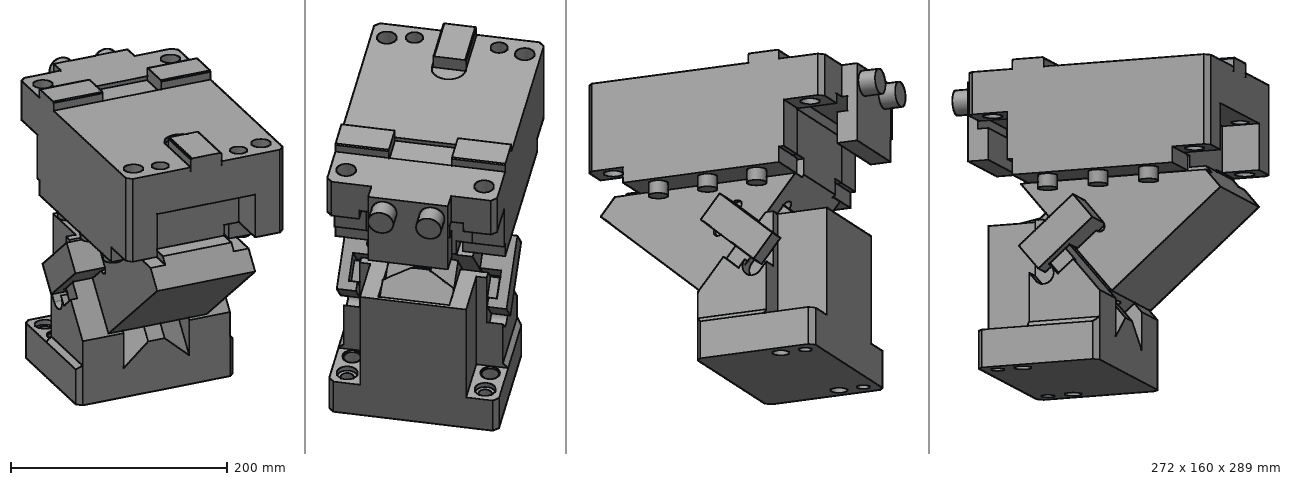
import cadquery as cq
import math

TOTAL_HEIGHT = 289.0
HALF_WIDTH = 80.0
RIGHT_END = 230.0
CORNER_CHAMFER = 5.0
BEVEL_ANGLE = 45.0
SLOPE_ANGLE = 50.0
BOLT_Y = 65.0
SLIDER_HALF = 50.0
NECK_HALF = 35.0

CLEAR = 144.5

BASE_LENGTH = 120.0
FOOT_HEIGHT = 35.8
BASE_TOP = 140.0
COLUMN_LENGTH = 50.0
CREST_X = 57.8
BODY_HALF = HALF_WIDTH - CORNER_CHAMFER
CORE_HALF = 59.8
RAIL_HALF = 68.5
RAIL_START = 17.3
RAIL_END = 55.8
RAIL_THICKNESS = 20.0
GROOVE_WIDTH = 20.0
BASE_SCREW_X = 15.0
BASE_SCREW_DIA = 12.0
BASE_SCREW_HEAD_DIA = 19.5
BASE_SCREW_HEAD_DEPTH = 5.0
BASE_DOWEL_X = 40.0
BASE_DOWEL_CHAMFER = 1.2
DOWEL_DIA = 16.0

GUIDE_START = -24.0
GUIDE_TOP = -8.7
GUIDE_FLAT_HALF = 8.5
GUIDE_FLANK_ANGLE = 30.0
GUIDE_POCKET_FLOOR = -41.5
GUIDE_SLOT_HALF = 33.5

SLIDE_GAP = 4.3
SLIDER_FRONT = 30.0
HEAD_BACK = 193.5
HEAD_TOP = 239.0
SHOULDER_Z = 177.5
TAIL_TOP = 184.0
TAIL_CORNER_Z = 160.0
SHOE_START = -14.2
SHOE_LENGTH = 100.0
SHOE_HALF = 32.5
SHOE_CHANNEL_HEIGHT = 3.5
SHOE_SEAT_DEPTH = 8.0
SHOE_RELIEF_Y = 26.0
SHOE_RELIEF_RADIUS = 6.5

HOOK_START = 10.7
HOOK_WIDTH = 30.0
HOOK_LOW = -30.0
HOOK_HIGH = 40.0
HOOK_LIP_HALF = 61.8
HOOK_LIP_TOP = -21.5
HOOK_NOTCH_TOP = 5.5
HOOK_NOTCH_HALF = 70.0
HOOK_RELIEF_RADIUS = 4.5
HOOK_RELIEF_SETBACK = 5.2
HOOK_SEAT_DEPTH = 5.0

HOLDER_TOP = 280.0
HOLDER_BOTTOM = 195.0
FLANGE_LEFT = -9.5
FLANGE_BOTTOM = 240.0
RECESS_HALF = 49.0
RECESS_TOP = 249.5
PLATE_LEFT = -25.0
PLATE_HALF = 37.5
PLATE_BOTTOM = 205.2
PLATE_FOOT_TOP = 235.2
PLATE_FOOT_RIGHT = -5.0
PLATE_NOTCH_LEFT = -15.3
SCREW_TIP = -42.0
SCREW_Y = 22.5
SCREW_Z = 264.5
SCREW_DIA = 23.7
RETAINER_LEFT = 35.0
RETAINER_RIGHT = HEAD_BACK
RETAINER_INNER = 40.0
RETAINER_BOTTOM = 180.0
RETAINER_SCREW_X = (64.5, 114.5, 164.5)
RETAINER_SCREW_DIA = 18.2
RETAINER_SCREW_HEIGHT = 12.0
MOUNT_HOLE_X = (10.0, 210.0)
MOUNT_HOLE_DIA = 18.2
DOWEL_X = 215.0
DOWEL_Y = 40.0
KEY_DEPTH = 4.0
KEY_CHAMFER = 1.2
CROSS_KEY_LEFT = 35.0
CROSS_KEY_WIDTH = 31.2
CROSS_KEY_GAP_HALF = 29.8
LONG_KEY_LEFT = 180.0
LONG_KEY_HALF = 15.5
LONG_KEYWAY_HALF = 16.0
LONG_KEYWAY_CENTER = 175.7

SLOPE = math.radians(SLOPE_ANGLE)
DOWN_SLOPE = cq.Vector(math.cos(SLOPE), 0, -math.sin(SLOPE))
OUT_OF_SLOPE = cq.Vector(math.sin(SLOPE), 0, math.cos(SLOPE))
CREST = cq.Vector(CREST_X, 0, BASE_TOP)
SIDE_PLANE = cq.Plane.XZ()
SLOPE_PLANE = cq.Plane(CREST, DOWN_SLOPE, (0, -1, 0))


def block(x_range, y_range, z_range):
    """Box between two values on each axis."""
    size = [high - low for low, high in (x_range, y_range, z_range)]
    corner = (x_range[0], y_range[0], z_range[0])
    return cq.Workplane("XY").box(*size, centered=False).translate(corner)


def prism(plane, points, y_low, y_high):
    """Outline in an upright plane, extruded from y_high down to y_low."""
    outline = cq.Workplane(plane).workplane(offset=-y_high).polyline(points).close()
    return outline.extrude(y_high - y_low)


def slope_block(s_range, d_range, y_range):
    """Box aligned with the sliding face."""
    (s0, s1), (d0, d1) = s_range, d_range
    return prism(SLOPE_PLANE, [(s0, d0), (s1, d0), (s1, d1), (s0, d1)], *y_range)


def both_sides(shape):
    """Shape together with its mirror image across the middle plane."""
    return shape.union(shape.mirror("XZ"))


def upright_cylinders(points, diameter, z_low, z_high):
    plane = cq.Workplane("XY").workplane(offset=z_low)
    return plane.pushPoints(points).circle(diameter / 2).extrude(z_high - z_low)


def guide_flank_depth(y):
    """Height d of the V guide at the half width y."""
    return GUIDE_TOP - (y - GUIDE_FLAT_HALF) * math.tan(math.radians(GUIDE_FLANK_ANGLE))


def roof_prism(half_width, level, s_start, s_end):
    """Prism along the slope between the roof of the V guide and a flat at the height d = level."""
    edge = guide_flank_depth(half_width)
    section = [
        (-half_width, level),
        (-half_width, edge),
        (-GUIDE_FLAT_HALF, GUIDE_TOP),
        (GUIDE_FLAT_HALF, GUIDE_TOP),
        (half_width, edge),
        (half_width, level),
    ]
    plane = cq.Plane(CREST + DOWN_SLOPE * s_start, (0, 1, 0), DOWN_SLOPE)
    return cq.Workplane(plane).polyline(section).close().extrude(s_end - s_start)


def slider_face_x(z):
    """X of the slider's sliding face at height z."""
    return CREST_X + (BASE_TOP - z) / math.tan(SLOPE) + SLIDE_GAP / math.sin(SLOPE)


def slider_face_z(x):
    """Height of the slider's sliding face at X."""
    return BASE_TOP + (CREST_X - x) * math.tan(SLOPE) + SLIDE_GAP / math.cos(SLOPE)


def make_base():
    foot = block((0, BASE_LENGTH), (-HALF_WIDTH, HALF_WIDTH), (0, FOOT_HEIGHT))
    foot = foot.edges("|Z").chamfer(CORNER_CHAMFER)

    bevel_top = FOOT_HEIGHT + CORNER_CHAMFER
    bevel = (
        cq.Workplane("YZ").workplane(offset=COLUMN_LENGTH)
        .polyline([(-HALF_WIDTH, FOOT_HEIGHT), (HALF_WIDTH, FOOT_HEIGHT),
                   (BODY_HALF, bevel_top), (-BODY_HALF, bevel_top)])
        .close().extrude(BASE_LENGTH - COLUMN_LENGTH)
    )
    bevel = bevel.intersect(foot.translate((0, 0, CORNER_CHAMFER)))

    column = block((0, COLUMN_LENGTH), (-SLIDER_HALF, SLIDER_HALF), (0, BASE_TOP))
    slope_end_z = BASE_TOP - (BASE_LENGTH - CREST_X) * math.tan(SLOPE)
    body = prism(
        SIDE_PLANE,
        [(COLUMN_LENGTH, 0), (BASE_LENGTH, 0), (BASE_LENGTH, slope_end_z),
         (CREST_X, BASE_TOP), (COLUMN_LENGTH, BASE_TOP)],
        -BODY_HALF, BODY_HALF,
    )
    body = body.cut(hook_track())
    base = cut_guide(foot.union(bevel).union(column).union(body))

    screws = [(BASE_SCREW_X, y) for y in (-BOLT_Y, BOLT_Y)]
    dowels = [(BASE_DOWEL_X, y) for y in (-BOLT_Y, BOLT_Y)]
    base = base.cut(upright_cylinders(screws, BASE_SCREW_DIA, 0, FOOT_HEIGHT))
    head_seat = FOOT_HEIGHT - BASE_SCREW_HEAD_DEPTH
    base = base.cut(upright_cylinders(screws, BASE_SCREW_HEAD_DIA, head_seat, FOOT_HEIGHT))
    dowel_holes = upright_cylinders(dowels, DOWEL_DIA, 0, FOOT_HEIGHT)
    mouths = (
        cq.Workplane("XY").workplane(offset=FOOT_HEIGHT).pushPoints(dowels)
        .circle(DOWEL_DIA / 2 + BASE_DOWEL_CHAMFER).extrude(-BASE_DOWEL_CHAMFER, taper=BEVEL_ANGLE)
    )
    return base.cut(dowel_holes).cut(mouths)


def cut_guide(base):
    """V guide below the sliding face, reaching out of the top through a deeper pocket."""
    slot = (-GUIDE_SLOT_HALF, GUIDE_SLOT_HALF)
    pocket = slope_block((-CLEAR, GUIDE_START), (GUIDE_POCKET_FLOOR, CLEAR), slot)
    above_roof = roof_prism(GUIDE_SLOT_HALF, CLEAR, GUIDE_START, CLEAR)
    tip = roof_prism(GUIDE_SLOT_HALF, GUIDE_POCKET_FLOOR, GUIDE_START, 0)
    return base.cut(pocket).cut(above_roof).union(tip)


def hook_track():
    """Space cut from both flanks of the base so that a rail stands behind each hook."""
    radius = GROOVE_WIDTH / 2
    round_center = RAIL_END - radius
    groove_low = -RAIL_THICKNESS - GROOVE_WIDTH
    above_rail = slope_block((-CLEAR, RAIL_START), (groove_low, CLEAR), (CORE_HALF, HALF_WIDTH))
    beside_rail = slope_block((-CLEAR, RAIL_END), (-RAIL_THICKNESS, CLEAR), (RAIL_HALF, HALF_WIDTH))
    groove = slope_block((-CLEAR, round_center), (groove_low, -RAIL_THICKNESS), (CORE_HALF, HALF_WIDTH))
    groove_end = (
        cq.Workplane(SLOPE_PLANE).workplane(offset=-HALF_WIDTH)
        .center(round_center, groove_low + radius)
        .circle(radius).extrude(HALF_WIDTH - CORE_HALF)
    )
    return both_sides(above_rail.union(beside_rail).union(groove).union(groove_end))


def make_slider():
    tip_reach = (RIGHT_END - slider_face_x(TAIL_CORNER_Z)) * math.sin(SLOPE)
    tip = cq.Vector(RIGHT_END, 0, TAIL_CORNER_Z) - OUT_OF_SLOPE * tip_reach

    def tail_x(z):
        return RIGHT_END - (z - TAIL_CORNER_Z) / math.tan(SLOPE)

    lower = prism(
        SIDE_PLANE,
        [(slider_face_x(SHOULDER_Z), SHOULDER_Z), (tip.x, tip.z),
         (RIGHT_END, TAIL_CORNER_Z), (tail_x(SHOULDER_Z), SHOULDER_Z)],
        -SLIDER_HALF, SLIDER_HALF,
    )
    neck = prism(
        SIDE_PLANE,
        [(SLIDER_FRONT, slider_face_z(SLIDER_FRONT)), (slider_face_x(SHOULDER_Z), SHOULDER_Z),
         (tail_x(SHOULDER_Z), SHOULDER_Z), (tail_x(TAIL_TOP), TAIL_TOP),
         (HEAD_BACK, TAIL_TOP), (HEAD_BACK, HOLDER_BOTTOM), (SLIDER_FRONT, HOLDER_BOTTOM)],
        -NECK_HALF, NECK_HALF,
    )
    head = block((SLIDER_FRONT, HEAD_BACK), (-SLIDER_HALF, SLIDER_HALF), (HOLDER_BOTTOM, HEAD_TOP))
    slider = lower.union(neck).union(head)

    seat_top = SLIDE_GAP + SHOE_SEAT_DEPTH
    relief_plane = cq.Plane(CREST + OUT_OF_SLOPE * SLIDE_GAP, DOWN_SLOPE, OUT_OF_SLOPE)
    reliefs = (
        cq.Workplane(relief_plane)
        .pushPoints([(SHOE_START, -SHOE_RELIEF_Y), (SHOE_START, SHOE_RELIEF_Y)])
        .circle(SHOE_RELIEF_RADIUS).extrude(SHOE_SEAT_DEPTH)
    )
    shoe_end = SHOE_START + SHOE_LENGTH
    shoe = roof_prism(SHOE_HALF, seat_top, SHOE_START, shoe_end)
    channel_depths = (GUIDE_TOP, GUIDE_TOP + SHOE_CHANNEL_HEIGHT)
    channel = slope_block((SHOE_START, shoe_end), channel_depths,
                          (-GUIDE_FLAT_HALF, GUIDE_FLAT_HALF))
    shoe = shoe.cut(channel)
    slider = slider.cut(reliefs).union(shoe)

    slider = slider.cut(both_sides(hook_reliefs()))
    return slider.union(both_sides(make_hook()))


def hook_reliefs():
    """Round corner reliefs of the hook's seat in one flank of the slider."""
    d = HOOK_HIGH - HOOK_RELIEF_SETBACK
    centers = [(HOOK_START, d), (HOOK_START + HOOK_WIDTH, d)]
    plane = cq.Workplane(SLOPE_PLANE).workplane(offset=-SLIDER_HALF)
    return plane.pushPoints(centers).circle(HOOK_RELIEF_RADIUS).extrude(HOOK_SEAT_DEPTH)


def make_hook():
    """Hook on the +Y flank, reaching under the rail of the base."""
    s_range = (HOOK_START, HOOK_START + HOOK_WIDTH)
    inner = SLIDER_HALF - HOOK_SEAT_DEPTH
    arm = slope_block(s_range, (HOOK_LOW, HOOK_HIGH), (HOOK_NOTCH_HALF, HALF_WIDTH))
    root = slope_block(s_range, (HOOK_NOTCH_TOP, HOOK_HIGH), (inner, HALF_WIDTH))
    lip = slope_block(s_range, (HOOK_LOW, HOOK_LIP_TOP), (HOOK_LIP_HALF, HALF_WIDTH))
    return arm.union(root).union(lip)


def make_holder():
    full_width = (-HALF_WIDTH, HALF_WIDTH)
    holder = block((FLANGE_LEFT, RIGHT_END), full_width, (HOLDER_BOTTOM, HOLDER_TOP))
    holder = holder.edges("|Z").chamfer(CORNER_CHAMFER)
    holder = holder.cut(block((FLANGE_LEFT, SLIDER_FRONT), full_width, (HOLDER_BOTTOM, FLANGE_BOTTOM)))
    holder = holder.cut(block((SLIDER_FRONT, RIGHT_END), (-SLIDER_HALF, SLIDER_HALF),
                              (HOLDER_BOTTOM, HEAD_TOP)))
    holder = holder.cut(block((FLANGE_LEFT, SLIDER_FRONT), (-RECESS_HALF, RECESS_HALF),
                              (FLANGE_BOTTOM, RECESS_TOP)))
    holder = holder.union(make_retainers()).union(make_stop_plate())

    mounts = [(x, y) for x in MOUNT_HOLE_X for y in (-BOLT_Y, BOLT_Y)]
    dowels = [(DOWEL_X, y) for y in (-DOWEL_Y, DOWEL_Y)]
    holder = holder.cut(upright_cylinders(mounts, MOUNT_HOLE_DIA, HOLDER_BOTTOM, HOLDER_TOP))
    holder = holder.cut(upright_cylinders(dowels, DOWEL_DIA, HOLDER_BOTTOM, HOLDER_TOP))
    return add_long_key(add_cross_keys(holder))


def make_retainers():
    """Strips holding the slider's head from below, with their screw heads."""
    strip = block((RETAINER_LEFT, RETAINER_RIGHT), (RETAINER_INNER, HALF_WIDTH),
                  (RETAINER_BOTTOM, HOLDER_BOTTOM))
    screws = [(x, BOLT_Y) for x in RETAINER_SCREW_X]
    heads = upright_cylinders(screws, RETAINER_SCREW_DIA,
                              RETAINER_BOTTOM - RETAINER_SCREW_HEIGHT, RETAINER_BOTTOM)
    return both_sides(strip.union(heads))


def make_stop_plate():
    """Plate on the front of the flange, hanging below it, with two screw heads."""
    plate = prism(
        SIDE_PLANE,
        [(PLATE_LEFT, PLATE_BOTTOM), (PLATE_FOOT_RIGHT, PLATE_BOTTOM),
         (PLATE_FOOT_RIGHT, PLATE_FOOT_TOP), (PLATE_NOTCH_LEFT, PLATE_FOOT_TOP),
         (PLATE_NOTCH_LEFT, RECESS_TOP), (FLANGE_LEFT, RECESS_TOP),
         (FLANGE_LEFT, HOLDER_TOP), (PLATE_LEFT, HOLDER_TOP)],
        -PLATE_HALF, PLATE_HALF,
    )
    screws = (
        cq.Workplane("YZ").workplane(offset=SCREW_TIP)
        .pushPoints([(-SCREW_Y, SCREW_Z), (SCREW_Y, SCREW_Z)])
        .circle(SCREW_DIA / 2).extrude(PLATE_LEFT - SCREW_TIP)
    )
    return plate.union(screws)


def add_cross_keys(holder):
    """Keyway across the top with a key at each end."""
    x_range = (CROSS_KEY_LEFT, CROSS_KEY_LEFT + CROSS_KEY_WIDTH)
    floor = HOLDER_TOP - KEY_DEPTH
    holder = holder.cut(block(x_range, (-HALF_WIDTH, HALF_WIDTH), (floor, HOLDER_TOP)))
    key = block(x_range, (CROSS_KEY_GAP_HALF, HALF_WIDTH), (floor, TOTAL_HEIGHT))
    key = key.faces(">Z").edges("|Y").chamfer(KEY_CHAMFER)
    return holder.union(both_sides(key))


def add_long_key(holder):
    """Round-ended keyway along X, open at the +X end, with its key."""
    floor = HOLDER_TOP - KEY_DEPTH
    keyway = block((LONG_KEYWAY_CENTER, RIGHT_END), (-LONG_KEYWAY_HALF, LONG_KEYWAY_HALF),
                   (floor, HOLDER_TOP))
    round_end = upright_cylinders([(LONG_KEYWAY_CENTER, 0)], 2 * LONG_KEYWAY_HALF, floor, HOLDER_TOP)
    key = block((LONG_KEY_LEFT, RIGHT_END), (-LONG_KEY_HALF, LONG_KEY_HALF), (floor, TOTAL_HEIGHT))
    key = key.faces(">Z").edges("|X").chamfer(KEY_CHAMFER)
    return holder.cut(keyway).cut(round_end).union(key)


base = make_base()
slider = make_slider()
holder = make_holder()
result = cq.Compound.makeCompound([body.solids().val() for body in (base, slider, holder)])